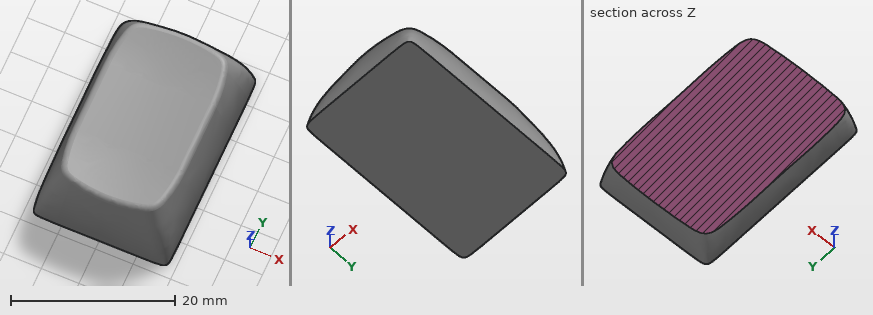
import cadquery as cq
import math

WIDTH = 18.2
LENGTH = 27.7
STRETCH = LENGTH - WIDTH

WALL_RADIUS = 21.6
BLANK_HEIGHT = 9.3
SECTION_COUNT = 5

BASE_SIDE_HALF = 5.75
BLANK_SIDE_HALF = 4.6
BLANK_BOW = 0.6
BASE_SHARPNESS = 0.91
BLANK_SHARPNESS = 0.6

DISH_RADIUS = 55.42
DISH_FLOOR = 8.35
RIM_FILLET = 0.8


def mix(start, end, ratio):
    """Value part of the way from start to end."""
    return start + (end - start) * ratio


def between(start, end, ratio):
    """Point part of the way from start to end."""
    return tuple(mix(a, b, ratio) for a, b in zip(start, end))


def outline(z):
    """Closed horizontal section of the square cap at height z."""
    rise = z / BLANK_HEIGHT
    half_width = WIDTH / 2 - (WALL_RADIUS - math.sqrt(WALL_RADIUS**2 - z**2))
    side_half = mix(BASE_SIDE_HALF, BLANK_SIDE_HALF, rise)
    bow = BLANK_BOW * rise**2
    sharpness = mix(BASE_SHARPNESS, BLANK_SHARPNESS, math.sqrt(rise))

    end_slope = math.tan(2 * math.atan(bow / side_half))
    side_offset = half_width - bow
    apex = (side_offset + end_slope * side_half) / (1 + end_slope)

    side_start = (side_offset, -side_half, z)
    side_end = (side_offset, side_half, z)
    corner_end = (side_half, side_offset, z)
    corner_apex = (apex, apex, z)
    chord_middle = between(side_end, corner_end, 0.5)
    middle_pull = (1 + 2 * sharpness) / 3
    corner_middle = between(chord_middle, corner_apex, middle_pull)

    if bow > 0:
        side = cq.Edge.makeThreePointArc(
            cq.Vector(side_start), cq.Vector(half_width, 0, z), cq.Vector(side_end))
    else:
        side = cq.Edge.makeLine(cq.Vector(side_start), cq.Vector(side_end))
    corner = cq.Edge.makeBezier([
        cq.Vector(side_end),
        cq.Vector(between(side_end, corner_apex, sharpness)),
        cq.Vector(corner_middle),
        cq.Vector(between(corner_end, corner_apex, sharpness)),
        cq.Vector(corner_end),
    ])
    edges = []
    for quarter in range(4):
        for edge in (side, corner):
            edges.append(edge.rotate(cq.Vector(0, 0, 0), cq.Vector(0, 0, 1), 90 * quarter))
    return cq.Wire.assembleEdges(edges)


def square_cap():
    """Square cap with a spherical dish and a rounded rim."""
    heights = [BLANK_HEIGHT * i / (SECTION_COUNT - 1) for i in range(SECTION_COUNT)]
    blank = cq.Workplane(cq.Solid.makeLoft([outline(z) for z in heights]))
    dish = cq.Workplane().sphere(DISH_RADIUS).translate((0, 0, DISH_FLOOR + DISH_RADIUS))
    dished = blank.cut(dish)
    rim = dished.faces(cq.selectors.NearestToPointSelector((0, 0, DISH_FLOOR)))
    return rim.edges().fillet(RIM_FILLET)


def stretched(cap):
    """Cap split across its middle, with a straight length added between the halves."""
    back_half_space = cq.Workplane().box(2 * WIDTH, WIDTH, 2 * WIDTH).translate((0, WIDTH / 2, 0))
    back = cap.intersect(back_half_space).translate((0, STRETCH / 2, 0))
    front = back.mirror("XZ")
    cut_face = back.faces("<Y").val()
    middle = cq.Workplane(cq.Solid.extrudeLinear(cut_face, cq.Vector(0, -STRETCH, 0)))
    return middle.union(back).union(front)


result = stretched(square_cap())